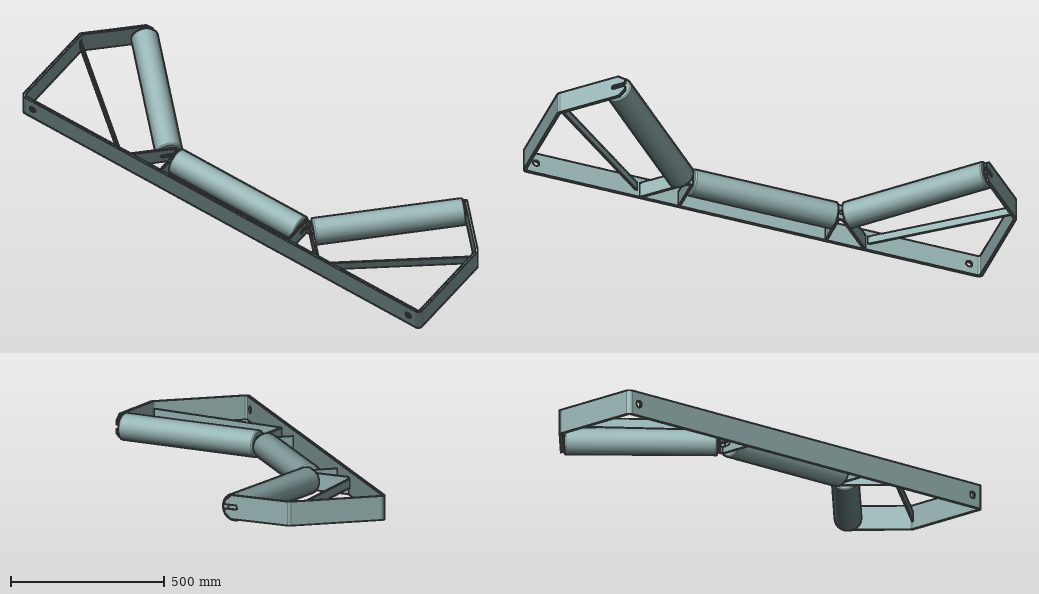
import cadquery as cq
import math

LENGTH = 1600.0
DEPTH = 500.0
BAR_HEIGHT = 80.0
BAR_THICKNESS = 8.0
BEND_RADIUS = 15.0
WALL_TOP_Y = 330.0
ARM_ANGLE = 45.0
TIP_CHAMFER_ALONG = 22.0
TIP_CHAMFER_HIGH = 20.0
SLOT_WIDTH = 15.0
SLOT_LENGTH = 46.0
HOLE_DIAMETER = 22.0
HOLE_X = 755.0
MID_HEIGHT = BAR_HEIGHT / 2

ROLLER_DIAMETER = 90.0
ROLLER_LENGTH = 500.0
ROLLER_EDGE_RADIUS = 5.0
SHOULDER_DIAMETER = 42.0
SHOULDER_HEIGHT = 2.0
CENTRE_ROLLER_Y = 100.0
CENTRE_ROLLER_Z = 31.2
SIDE_ROLLER_X = 465.0
SIDE_ROLLER_Y = 293.0
SIDE_ROLLER_Z = 34.4
SIDE_ROLLER_TILT = 0.7

BRACKET_LEG_X = 253.0
BRACKET_TOP_Y = 128.0
BRACKET_FOOT_X = 394.0
BRACKET_THICKNESS = 6.0
BRACKET_HEIGHT = 58.0
BRACKET_SLOT_DEPTH = 38.0

BRACE_FOOT_X = 410.0
BRACE_TOP_Y = 323.0
BRACE_THICKNESS = 5.0
BRACE_HEIGHT = 30.0

ARM_X = math.cos(math.radians(ARM_ANGLE))
ARM_Y = math.sin(math.radians(ARM_ANGLE))
ARM_SLOPE = ARM_Y / ARM_X
ARM_TIP_X = LENGTH / 2 - (DEPTH - WALL_TOP_Y) / ARM_SLOPE


def strip_outline(path, thickness):
    """Closed outline between an open path and its copy shifted to the left of travel."""
    headings = [math.atan2(b[1] - a[1], b[0] - a[0]) for a, b in zip(path, path[1:])]
    shifted = []
    for i, (x, y) in enumerate(path):
        heading_in = headings[max(i - 1, 0)]
        heading_out = headings[min(i, len(headings) - 1)]
        half_turn = math.remainder(heading_out - heading_in, 2 * math.pi) / 2
        normal = heading_in + half_turn + math.pi / 2
        reach = thickness / math.cos(half_turn)
        shifted.append((x + reach * math.cos(normal), y + reach * math.sin(normal)))
    return path + shifted[::-1]


def fillet_upright_edge(body, point, radius):
    """Round the one vertical edge that stands at the given point."""
    return body.edges("|Z").edges(cq.selectors.NearestToPointSelector((*point, MID_HEIGHT))).fillet(radius)


def arm_tip_cutter(side):
    """Open shaft slot and two corner chamfers at the tip of one arm."""
    tip_plane = cq.Plane(
        origin=(side * ARM_TIP_X, DEPTH, MID_HEIGHT),
        xDir=(side * ARM_X, -ARM_Y, 0),
        normal=(ARM_Y, side * ARM_X, 0),
    )
    tip = cq.Workplane(tip_plane)
    reach = 4 * BAR_THICKNESS
    cutter = tip.slot2D(2 * SLOT_LENGTH, SLOT_WIDTH).extrude(reach, both=True)
    for end in (-1, 1):
        corner = [
            (0, end * MID_HEIGHT),
            (TIP_CHAMFER_ALONG, end * MID_HEIGHT),
            (0, end * (MID_HEIGHT - TIP_CHAMFER_HIGH)),
        ]
        cutter = cutter.add(tip.polyline(corner).close().extrude(reach, both=True))
    return cutter.combine()


def make_frame():
    half = LENGTH / 2
    path = [
        (-ARM_TIP_X, DEPTH),
        (-half, WALL_TOP_Y),
        (-half, 0),
        (half, 0),
        (half, WALL_TOP_Y),
        (ARM_TIP_X, DEPTH),
    ]
    outline = strip_outline(path, BAR_THICKNESS)
    body = cq.Workplane("XY").polyline(outline).close().extrude(BAR_HEIGHT)

    inner_path = outline[len(path):][::-1]
    for outer_corner, inner_corner in zip(path[1:-1], inner_path[1:-1]):
        body = fillet_upright_edge(body, outer_corner, BEND_RADIUS)
        body = fillet_upright_edge(body, inner_corner, BEND_RADIUS - BAR_THICKNESS)

    holes = (
        cq.Workplane("XZ")
        .pushPoints([(-HOLE_X, MID_HEIGHT), (HOLE_X, MID_HEIGHT)])
        .circle(HOLE_DIAMETER / 2)
        .extrude(-2 * BAR_THICKNESS)
    )
    body = body.cut(holes)
    for side in (-1, 1):
        body = body.cut(arm_tip_cutter(side))
    return body


def make_roller():
    """Roller along X, centred on the origin."""
    barrel = (
        cq.Workplane("YZ")
        .workplane(offset=-ROLLER_LENGTH / 2)
        .circle(ROLLER_DIAMETER / 2)
        .extrude(ROLLER_LENGTH)
        .edges()
        .fillet(ROLLER_EDGE_RADIUS)
    )
    shoulders = (
        cq.Workplane("YZ")
        .workplane(offset=-ROLLER_LENGTH / 2 - SHOULDER_HEIGHT)
        .circle(SHOULDER_DIAMETER / 2)
        .extrude(ROLLER_LENGTH + 2 * SHOULDER_HEIGHT)
    )
    return barrel.union(shoulders)


def make_side_roller(side):
    """Roller sloping outward to +Y, its outer end tilted slightly up."""
    return (
        make_roller()
        .rotate((0, 0, 0), (0, 1, 0), -side * SIDE_ROLLER_TILT)
        .rotate((0, 0, 0), (0, 0, 1), side * ARM_ANGLE)
        .translate((side * SIDE_ROLLER_X, SIDE_ROLLER_Y, SIDE_ROLLER_Z))
    )


def base_side_clearance():
    """Block that trims strips flush with the inner face of the base."""
    return cq.Workplane("XY").box(LENGTH, DEPTH, 4 * BAR_HEIGHT).translate((0, BAR_THICKNESS - DEPTH / 2, 0))


def make_bracket(side):
    web_end_x = BRACKET_FOOT_X - (BRACKET_TOP_Y - BAR_THICKNESS) / ARM_SLOPE
    path = [
        (BRACKET_FOOT_X, BAR_THICKNESS),
        (web_end_x, BRACKET_TOP_Y),
        (BRACKET_LEG_X, BRACKET_TOP_Y),
        (BRACKET_LEG_X, BAR_THICKNESS),
    ]
    body = cq.Workplane("XY").polyline(strip_outline(path, BRACKET_THICKNESS)).close().extrude(BRACKET_HEIGHT)
    slot = (
        cq.Workplane("YZ")
        .center(BRACKET_TOP_Y, BRACKET_HEIGHT / 2)
        .slot2D(2 * BRACKET_SLOT_DEPTH, SLOT_WIDTH)
        .extrude(LENGTH / 2)
    )
    body = body.cut(base_side_clearance()).cut(slot)
    return body if side > 0 else body.mirror("YZ")


def make_brace(side):
    wall_x = LENGTH / 2 - BAR_THICKNESS
    run = wall_x - BRACE_FOOT_X
    rise = BRACE_TOP_Y - BAR_THICKNESS
    slant = math.hypot(run, rise)
    wall_width = BRACE_THICKNESS * slant / run
    foot_width = BRACE_THICKNESS * slant / rise
    outline = [
        (BRACE_FOOT_X, BAR_THICKNESS),
        (wall_x, BRACE_TOP_Y - wall_width),
        (wall_x, BRACE_TOP_Y),
        (BRACE_FOOT_X - foot_width, BAR_THICKNESS),
    ]
    body = (
        cq.Workplane("XY")
        .workplane(offset=MID_HEIGHT - BRACE_HEIGHT / 2)
        .polyline(outline)
        .close()
        .extrude(BRACE_HEIGHT)
    )
    return body if side > 0 else body.mirror("YZ")


frame = make_frame()
centre_roller = make_roller().translate((0, CENTRE_ROLLER_Y, CENTRE_ROLLER_Z))

bodies = [frame.val(), centre_roller.val()]
for side in (-1, 1):
    bodies.append(make_side_roller(side).val())
    bodies.append(make_bracket(side).val())
    bodies.append(make_brace(side).val())

result = cq.Compound.makeCompound(bodies)